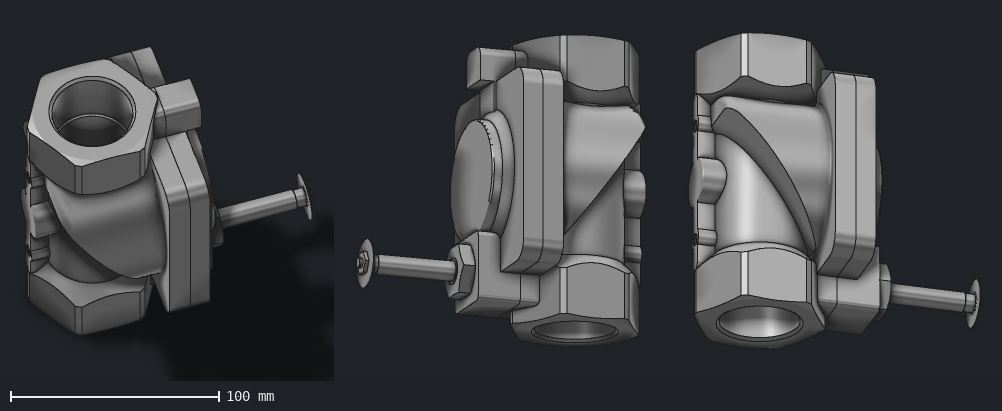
import cadquery as cq
import math


end_height = 70.0
tube_radius = 23.8
tube_half_length = 37.6
hex_across_flats = 57.8
hex_corner_radius = 32.5
hex_face_radius = 28.8
hex_chamfer_height = 1.0
bore_diameter = 36.0
socket_diameter = 38.9
socket_depth = 28.7
socket_chamfer = 1.5

front_face_y = -32.5
bowl_floor_y = -25.8
flange_bottom_y = 23.4
seam_y = 33.9
cover_flange_top_y = 43.9

bowl_radius = 43.5
bowl_floor_fillet = 5.2
bowl_root_fillet = 1.9
cut_low_z = -37.3
cut_high_z = 28.1

flange_side = 96.0
flange_corner_radius = 9.6

rib_width = 7.6
rib_length = 92.7
centre_boss_diameter = 25.0
centre_boss_fillet = 1.0
pin_boss_diameter = 11.2
pin_boss_offset = 29.8
pin_hole_diameter = 5.0
pin_hole_mouth_diameter = 6.0
pin_hole_depth = 7.2
drill_point_angle = 118.0

lug_root_y = tube_radius
upper_lug_width = 19.8
upper_lug_bottom_z = flange_side / 2
upper_lug_top_z = 65.5
upper_lug_radius = 5.0
upper_lug_top_y = 52.0
lower_lug_width = 32.5
lower_lug_bottom_z = -62.7
lower_lug_top_z = -28.1
lower_lug_radius = 2.6
lower_lug_top_y = 55.4

dome_radius = 30.0
dome_base_radius = 35.5
dome_cone_top_y = 48.1
dome_top_y = 53.1
dome_edge_fillet = 0.9
bridge_top_y = 44.9

stem_z = -45.5
base_nut_across_flats = 24.0
base_nut_chamfer_height = 0.6
base_nut_top_y = 62.4
collar_diameter = 12.9
collar_top_y = 62.7
stem_diameter = 10.0
stem_shoulder_y = 102.0
neck_diameter = 9.0
disc_diameter = 24.0
disc_bottom_y = 107.0
disc_thickness = 0.5
top_nut_across_flats = 10.0
top_nut_top_y = 109.3
tip_neck_diameter = 4.9
tip_head_diameter = 5.0
tip_head_bottom_y = 110.4
tip_top_y = 111.0


def disc_along_y(diameter, y_from, y_to, z=0.0):
    return cq.Workplane("XZ", origin=(0, y_from, z)).circle(diameter / 2).extrude(y_from - y_to)


def hex_along_y(across_flats, y_from, y_to, z):
    """Hexagonal prism with two corners on the X direction."""
    corner_diameter = across_flats / math.cos(math.pi / 6)
    return cq.Workplane("XZ", origin=(0, y_from, z)).polygon(6, corner_diameter).extrude(y_from - y_to)


def block_along_y(width, z_from, z_to, y_from, y_to):
    centre_z = (z_from + z_to) / 2
    plane = cq.Workplane("XZ", origin=(0, y_from, centre_z))
    return plane.rect(width, z_to - z_from).extrude(y_from - y_to)


def flange(y_from, y_to):
    half = flange_side / 2
    return block_along_y(flange_side, -half, half, y_from, y_to).edges("|Y").fillet(flange_corner_radius)


def upper_lug(y_from, y_to):
    lug = block_along_y(upper_lug_width, upper_lug_bottom_z, upper_lug_top_z, y_from, y_to)
    return lug.edges("|Y and >Z").fillet(upper_lug_radius)


def lower_lug(y_from, y_to):
    lug = block_along_y(lower_lug_width, lower_lug_bottom_z, lower_lug_top_z, y_from, y_to)
    return lug.edges("|Y").fillet(lower_lug_radius)


def hex_end():
    """Upper pipe end: a hexagon turned to a 45 degree neck and a shallow end chamfer."""
    corner_diameter = hex_across_flats / math.cos(math.pi / 6)
    neck_top_z = tube_half_length + hex_corner_radius - tube_radius
    prism = (
        cq.Workplane("XY", origin=(0, 0, tube_half_length))
        .transformed(rotate=(0, 0, 90))
        .polygon(6, corner_diameter)
        .extrude(end_height - tube_half_length)
    )
    envelope = (
        cq.Workplane("XZ")
        .moveTo(0, tube_half_length)
        .lineTo(tube_radius, tube_half_length)
        .lineTo(hex_corner_radius, neck_top_z)
        .lineTo(hex_corner_radius, end_height - hex_chamfer_height)
        .lineTo(hex_face_radius, end_height)
        .lineTo(0, end_height)
        .close()
        .revolve(360, (0, 0), (0, 1))
    )
    return prism.intersect(envelope)


def bowl():
    """Round bowl under the flange, cut away by a plane that slopes down to the root fillet."""
    root_y = flange_bottom_y - bowl_root_fillet
    diagonal = math.sqrt(0.5)
    floor_arc_r = bowl_radius - bowl_floor_fillet * (1 - diagonal)
    floor_arc_y = bowl_floor_y + bowl_floor_fillet * (1 - diagonal)
    root_arc_r = bowl_radius + bowl_root_fillet * (1 - diagonal)
    root_arc_y = flange_bottom_y - bowl_root_fillet * (1 - diagonal)
    body = (
        cq.Workplane("XY")
        .moveTo(0, bowl_floor_y)
        .lineTo(bowl_radius - bowl_floor_fillet, bowl_floor_y)
        .threePointArc((floor_arc_r, floor_arc_y), (bowl_radius, bowl_floor_y + bowl_floor_fillet))
        .lineTo(bowl_radius, root_y)
        .threePointArc((root_arc_r, root_arc_y), (bowl_radius + bowl_root_fillet, flange_bottom_y))
        .lineTo(0, flange_bottom_y)
        .close()
        .revolve(360, (0, 0), (0, 1))
    )
    removed = (
        cq.Workplane("YZ")
        .moveTo(bowl_floor_y, cut_high_z)
        .lineTo(root_y, cut_low_z)
        .lineTo(root_y, -end_height)
        .lineTo(bowl_floor_y, -end_height)
        .close()
        .extrude(flange_side / 2, both=True)
    )
    return body.cut(removed)


def rib():
    """Round-ended rib on the front with a centre boss and two pin bosses."""
    plane = cq.Workplane("XZ", origin=(0, front_face_y, 0))
    bar = plane.slot2D(rib_length, rib_width, 90).extrude(front_face_y)
    centre_boss = disc_along_y(centre_boss_diameter, front_face_y, 0)
    shape = bar.union(centre_boss.faces("<Y").edges().fillet(centre_boss_fillet))
    for z in (-pin_boss_offset, pin_boss_offset):
        shape = shape.union(disc_along_y(pin_boss_diameter, front_face_y, 0, z))
    return shape


def pin_hole(z):
    """Blind drilled hole with a 45 degree mouth and a drill point."""
    radius = pin_hole_diameter / 2
    mouth_radius = pin_hole_mouth_diameter / 2
    floor_y = front_face_y + pin_hole_depth
    point_y = floor_y + radius / math.tan(math.radians(drill_point_angle / 2))
    return (
        cq.Workplane("XY")
        .moveTo(0, front_face_y)
        .lineTo(mouth_radius, front_face_y)
        .lineTo(radius, front_face_y + mouth_radius - radius)
        .lineTo(radius, floor_y)
        .lineTo(0, point_y)
        .close()
        .revolve(360, (0, 0), (0, 1))
        .translate((0, 0, z))
    )


def pipe_bore():
    """Through bore with a chamfered socket at each end."""
    socket_radius = socket_diameter / 2
    mouth_radius = socket_radius + socket_chamfer
    socket = (
        cq.Workplane("XZ")
        .moveTo(0, end_height)
        .lineTo(mouth_radius, end_height)
        .lineTo(socket_radius, end_height - socket_chamfer)
        .lineTo(socket_radius, end_height - socket_depth)
        .lineTo(0, end_height - socket_depth)
        .close()
        .revolve(360, (0, 0), (0, 1))
    )
    bore = cq.Workplane("XY").circle(bore_diameter / 2).extrude(end_height, both=True)
    return bore.union(socket).union(socket.mirror("XY"))


def make_housing():
    upper_end = hex_end()
    tube = cq.Workplane("XY").circle(tube_radius).extrude(tube_half_length, both=True)
    body = tube.union(upper_end).union(upper_end.mirror("XY"))
    body = body.union(bowl()).union(flange(flange_bottom_y, seam_y))
    body = body.union(upper_lug(lug_root_y, seam_y)).union(lower_lug(lug_root_y, seam_y))
    body = body.union(rib()).cut(pipe_bore())
    for z in (-pin_boss_offset, pin_boss_offset):
        body = body.cut(pin_hole(z))
    return body


def dome():
    return (
        cq.Workplane("XY")
        .moveTo(0, cover_flange_top_y)
        .lineTo(dome_base_radius, cover_flange_top_y)
        .lineTo(dome_radius, dome_cone_top_y)
        .lineTo(dome_radius, dome_top_y)
        .lineTo(0, dome_top_y)
        .close()
        .revolve(360, (0, 0), (0, 1))
        .faces(">Y").edges().fillet(dome_edge_fillet)
    )


def base_nut():
    """Hexagonal nut with its corners turned off at both ends."""
    flat_radius = base_nut_across_flats / 2
    corner_radius = flat_radius / math.cos(math.pi / 6)
    envelope = (
        cq.Workplane("XY")
        .moveTo(0, lower_lug_top_y)
        .lineTo(flat_radius, lower_lug_top_y)
        .lineTo(corner_radius, lower_lug_top_y + base_nut_chamfer_height)
        .lineTo(corner_radius, base_nut_top_y - base_nut_chamfer_height)
        .lineTo(flat_radius, base_nut_top_y)
        .lineTo(0, base_nut_top_y)
        .close()
        .revolve(360, (0, 0), (0, 1))
        .translate((0, 0, stem_z))
    )
    prism = hex_along_y(base_nut_across_flats, lower_lug_top_y, base_nut_top_y, stem_z)
    return prism.intersect(envelope)


def stem():
    """Nut, stem, disc and top nut in line on the lower lug."""
    disc_top_y = disc_bottom_y + disc_thickness
    shape = base_nut()
    shape = shape.union(disc_along_y(collar_diameter, base_nut_top_y, collar_top_y, stem_z))
    shape = shape.union(disc_along_y(stem_diameter, base_nut_top_y, stem_shoulder_y, stem_z))
    shape = shape.union(disc_along_y(neck_diameter, stem_shoulder_y, disc_bottom_y, stem_z))
    shape = shape.union(disc_along_y(disc_diameter, disc_bottom_y, disc_top_y, stem_z))
    shape = shape.union(hex_along_y(top_nut_across_flats, disc_top_y, top_nut_top_y, stem_z))
    shape = shape.union(disc_along_y(tip_neck_diameter, top_nut_top_y, tip_head_bottom_y, stem_z))
    return shape.union(disc_along_y(tip_head_diameter, tip_head_bottom_y, tip_top_y, stem_z))


def make_cover():
    bridge = block_along_y(upper_lug_width, 0, upper_lug_bottom_z, seam_y, bridge_top_y)
    body = flange(seam_y, cover_flange_top_y).union(dome()).union(bridge)
    body = body.union(upper_lug(seam_y, upper_lug_top_y)).union(lower_lug(seam_y, lower_lug_top_y))
    return body.union(stem())


housing = make_housing()
cover = make_cover()

result = cq.Compound.makeCompound([housing.solids().val(), cover.solids().val()])